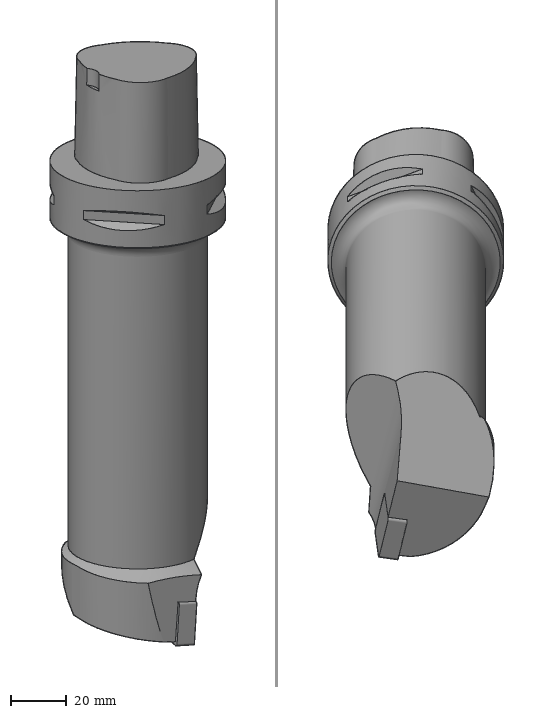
import cadquery as cq
import math


shank_height = 38.1
lobe_tip_radius = 23.6
flank_radius = 20.5
seam_radius = 21.7
seam_half_angle = 25.6
shank_taper_inset = 0.75
lobe_angles = (-30, 90, 210)
lobe_spacing = 120
notch_radius = 6.4
notch_half_width = 4.0
notch_height = 6.4

flange_radius = 63.0 / 2
flange_height = 21.7
flange_chamfer = 1.3
chamfer_height = 0.9
neck_radius = 5.1
bar_radius = 50.0 / 2

groove_z = -11.7
groove_angles = (45, 135, 225, 315)
groove_floor_distance = 28.0
groove_floor_width = 3.5
groove_mouth_width = 7.2

tool_length = 174.9
trim_allowance = 10.6
blank_bottom = -tool_length - trim_allowance
ledge_z = -146.8
ledge_slope = 1 / 3
head_depth = 28.5
head_flat_start = 0
head_flat_end = 5.1
head_left_radius = 21.7
head_right_radius = head_depth
head_back_y = 17.0
relief_start_z = -139.3
relief_angle = 47.3
bottom_point = (4.5, 5.8, -171.3)
bottom_normal = (-0.095, -0.105, -1)
side_point = (29.0, -15.8, -149.3)
side_normal = (1, -0.17, 0.078)

rake_normal = (0.15, 1, -0.11)
insert_tip = (35.0, 0.5, -tool_length)
insert_edge = 16.0
insert_thickness = 7.0
insert_nose_radius = 0.9
insert_approach_angle = 5
gullet_floor_length = 16.8
gullet_radius = 25.5
gullet_sweep = 25

cutter_size = 127.8


def polar(radius, degrees):
    angle = math.radians(degrees)
    return (radius * math.cos(angle), radius * math.sin(angle))


def lobed_outline(workplane, inset):
    """Draw alternating lobe and flank arcs, moved inwards by inset."""
    tip = lobe_tip_radius - inset
    flank = flank_radius - inset
    seam = seam_radius - inset
    outline = workplane.moveTo(*polar(seam, lobe_angles[0] - seam_half_angle))
    for angle in lobe_angles:
        outline = outline.threePointArc(polar(tip, angle), polar(seam, angle + seam_half_angle))
        next_seam = angle + lobe_spacing - seam_half_angle
        outline = outline.threePointArc(polar(flank, angle + lobe_spacing / 2), polar(seam, next_seam))
    return outline.close()


def make_shank():
    base = lobed_outline(cq.Workplane("XY"), 0)
    shank = lobed_outline(base.workplane(offset=shank_height), shank_taper_inset).loft(ruled=True)
    top_flank_y = -(flank_radius - shank_taper_inset)
    notch_center_y = top_flank_y - math.sqrt(notch_radius**2 - notch_half_width**2)
    notch = (
        cq.Workplane("XY", origin=(0, notch_center_y, shank_height - notch_height))
        .circle(notch_radius)
        .extrude(notch_height)
    )
    return shank.cut(notch)


def make_flange_and_bar():
    """Revolve the flange, its lower chamfer, the concave neck and the bar."""
    neck_top = -flange_height - chamfer_height
    neck_center = (bar_radius + neck_radius, neck_top - neck_radius)
    neck_middle = polar(neck_radius, 135)
    return (
        cq.Workplane("XZ")
        .lineTo(flange_radius, 0)
        .lineTo(flange_radius, -flange_height)
        .lineTo(flange_radius - flange_chamfer, neck_top)
        .lineTo(neck_center[0], neck_top)
        .threePointArc(
            (neck_center[0] + neck_middle[0], neck_center[1] + neck_middle[1]),
            (bar_radius, neck_center[1]),
        )
        .lineTo(bar_radius, blank_bottom)
        .lineTo(0, blank_bottom)
        .close()
        .revolve(360, (0, 0, 0), (0, 1, 0))
    )


def make_groove(angle):
    """Straight trapezoidal groove across the flange rim, widening outwards."""
    floor = groove_floor_width / 2
    mouth = groove_mouth_width / 2
    return (
        cq.Workplane("XZ")
        .polyline([
            (groove_floor_distance, groove_z - floor),
            (flange_radius, groove_z - mouth),
            (flange_radius, groove_z + mouth),
            (groove_floor_distance, groove_z + floor),
        ])
        .close()
        .extrude(flange_radius, both=True)
        .rotate((0, 0, 0), (0, 0, 1), angle)
    )


def half_space(point, normal):
    """Large block lying on the side of a plane that its normal points to."""
    plane = cq.Plane(origin=point, xDir=(normal[2], 0, -normal[0]), normal=normal)
    return cq.Workplane(plane).rect(2 * cutter_size, 2 * cutter_size).extrude(cutter_size)


def make_head():
    """Prism offset towards +X and -Y from the bar, under a conical ledge."""
    left_center_y = head_left_radius - head_depth
    right_center_y = head_right_radius - head_depth
    left_middle = polar(head_left_radius, 225)
    right_middle = polar(head_right_radius, 315)
    prism = (
        cq.Workplane("XY", origin=(0, 0, blank_bottom))
        .moveTo(head_flat_start - head_left_radius, left_center_y)
        .threePointArc(
            (head_flat_start + left_middle[0], left_center_y + left_middle[1]),
            (head_flat_start, -head_depth),
        )
        .lineTo(head_flat_end, -head_depth)
        .threePointArc(
            (head_flat_end + right_middle[0], right_center_y + right_middle[1]),
            (head_flat_end + head_right_radius, right_center_y),
        )
        .lineTo(head_flat_end + head_right_radius, head_back_y)
        .lineTo(0, head_back_y)
        .close()
        .extrude(ledge_z - blank_bottom)
    )
    reach = 2 * bar_radius
    ledge_cone = (
        cq.Workplane("XZ")
        .moveTo(0, ledge_z)
        .lineTo(bar_radius, ledge_z)
        .lineTo(reach, ledge_z - ledge_slope * (reach - bar_radius))
        .lineTo(reach, blank_bottom)
        .lineTo(0, blank_bottom)
        .close()
        .revolve(360, (0, 0, 0), (0, 1, 0))
    )
    return prism.intersect(ledge_cone).cut(half_space(side_point, side_normal))


def rake_plane():
    """Plane of the rake face: local x runs outwards, local y runs down."""
    return cq.Plane(origin=insert_tip, xDir=(1, -rake_normal[0], 0), normal=rake_normal)


def make_gullet():
    """Chip space over the rake plane, curving away at its upper end into a sloped exit."""
    rake = rake_plane()
    side_plane = cq.Plane(origin=insert_tip, xDir=-rake.yDir, normal=rake.xDir)
    middle = polar(gullet_radius, 90 - gullet_sweep / 2)
    end = polar(gullet_radius, 90 - gullet_sweep)
    arc_end = (gullet_floor_length + end[0], end[1] - gullet_radius)
    exit_run = (cutter_size + arc_end[1]) / math.tan(math.radians(gullet_sweep))
    return (
        cq.Workplane(side_plane)
        .moveTo(-cutter_size, 0)
        .lineTo(gullet_floor_length, 0)
        .threePointArc((gullet_floor_length + middle[0], middle[1] - gullet_radius), arc_end)
        .lineTo(arc_end[0] + exit_run, -cutter_size)
        .lineTo(-cutter_size, -cutter_size)
        .close()
        .extrude(cutter_size, both=True)
    )


def make_insert():
    """Rhombic plate with rounded corners, lying below the rake plane."""
    angle = math.radians(insert_approach_angle)
    along = insert_edge * math.cos(angle)
    across = insert_edge * math.sin(angle)
    return (
        cq.Workplane(rake_plane())
        .polyline([(0, 0), (-along, -across), (-along - across, -along - across), (-across, -along)])
        .close()
        .extrude(-insert_thickness)
        .edges(cq.selectors.ParallelDirSelector(cq.Vector(*rake_normal)))
        .fillet(insert_nose_radius)
    )


def make_holder(insert):
    holder = make_flange_and_bar().union(make_shank()).union(make_head())
    for angle in groove_angles:
        holder = holder.cut(make_groove(angle))
    slope = math.radians(relief_angle)
    relief_normal = (-math.sin(slope), 0, -math.cos(slope))
    holder = holder.cut(half_space((-bar_radius, 0, relief_start_z), relief_normal))
    holder = holder.cut(half_space(bottom_point, bottom_normal))
    return holder.cut(make_gullet()).cut(insert)


cutting_insert = make_insert()
tool_holder = make_holder(cutting_insert)
result = cq.Compound.makeCompound([tool_holder.solids().val(), cutting_insert.solids().val()])